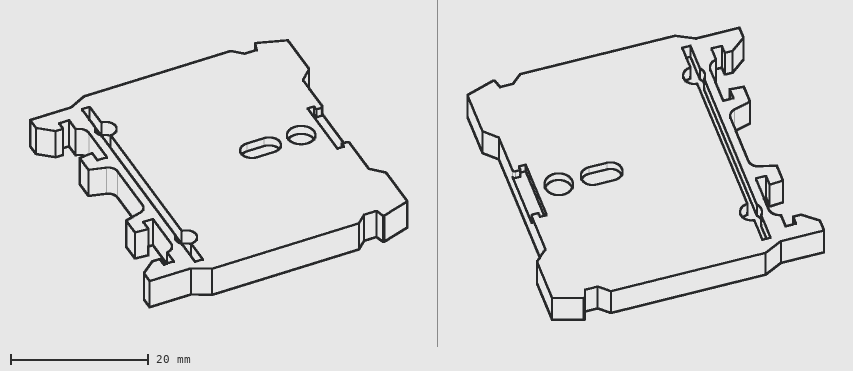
import cadquery as cq
import math

width = 43.0
height = 41.5
thickness = 5.0
half_width = width / 2
waist_x = 20.1

shoulder_inner_x = 12.9
top_edge_y = 39.6
top_edge_half = 11.05
shoulder_tip_y = 37.15
tip_flat = 0.25
notch_top_y = 36.5
notch_bottom_y = 34.55
side_top_y = 33.0
side_bottom_y = 9.37
foot_top_y = 6.62

toe_x = 18.1
hook_x = 16.2
hook_bottom_y = 2.3
hook_top_y = 3.5
hook_slot_x = 17.6
hook_slot_y = 5.07

recess_y = 6.45
recess_radius = 1.65
recess_arc_x = 13.75
post_outer_x = 7.7
post_ledge_x = 9.45
post_ledge_y = 4.9
post_tip_outer_x = 9.3
post_tip_inner_x = 6.3
post_tip_y = 2.8
post_root_x = 5.35
post_fillet = 1.45

pocket_depth = 1.5
hole_y = 34.0
hole_diameter = 4.13
slot_y = 27.48
slot_length = 6.2
slot_width = 3.45
marker_half = 5.0
marker_bottom_y = 37.45
marker_ledge_y = 38.5
marker_neck_half = 4.25
marker_lip_radius = 0.35

groove_depth = thickness / 2
groove_half = 19.0
groove_bottom_y = 7.83
groove_top_y = 9.07
bore_x = 13.5
bore_y = 9.05
bore_diameter = 3.2


def half_plate():
    """Half of the plate on the +X side, with its rail recess outline."""
    arc_center_y = recess_y - recess_radius
    end_angle = math.asin((hook_slot_y - arc_center_y) / recess_radius)
    mid_angle = (end_angle + math.pi / 2) / 2

    def recess_point(angle):
        return (
            recess_arc_x + recess_radius * math.cos(angle),
            arc_center_y + recess_radius * math.sin(angle),
        )

    outline = (
        cq.Workplane("XY")
        .moveTo(0, top_edge_y)
        .lineTo(top_edge_half, top_edge_y)
        .lineTo(shoulder_inner_x, height)
        .lineTo(waist_x, height)
        .lineTo(half_width, shoulder_tip_y)
        .lineTo(half_width, shoulder_tip_y - tip_flat)
        .lineTo(waist_x, notch_top_y)
        .lineTo(waist_x, notch_bottom_y)
        .lineTo(half_width, side_top_y)
        .lineTo(half_width, side_bottom_y)
        .lineTo(waist_x, foot_top_y)
        .lineTo(waist_x, 0)
        .lineTo(toe_x, 0)
        .lineTo(hook_x, hook_bottom_y)
        .lineTo(hook_x, hook_top_y)
        .lineTo(hook_slot_x, hook_top_y)
        .lineTo(hook_slot_x, hook_slot_y)
        .lineTo(*recess_point(end_angle))
        .threePointArc(recess_point(mid_angle), (recess_arc_x, recess_y))
        .lineTo(post_outer_x, recess_y)
        .lineTo(post_outer_x, post_ledge_y)
        .lineTo(post_ledge_x, post_ledge_y)
        .lineTo(post_tip_outer_x, post_tip_y)
        .lineTo(post_tip_inner_x, post_tip_y)
        .lineTo(post_root_x, recess_y)
        .lineTo(0, recess_y)
        .close()
    )
    post_root = cq.selectors.NearestToPointSelector((post_root_x, recess_y, thickness / 2))
    return outline.extrude(thickness).edges("|Z").edges(post_root).fillet(post_fillet)


def upper_face_sketch(depth):
    """Workplane from which a cutter reaches the upper face."""
    return cq.Workplane("XY").workplane(offset=thickness - depth)


def box_cutter(half_length, bottom_y, top_y, depth):
    return (
        upper_face_sketch(depth)
        .center(0, (bottom_y + top_y) / 2)
        .rect(2 * half_length, top_y - bottom_y)
        .extrude(depth)
    )


def marker_pocket():
    """T-shaped pocket open at the upper edge, with a rounded lip on each side."""
    lip_half = marker_neck_half + marker_lip_radius
    lip_y = top_edge_y - marker_lip_radius
    lip_offset = marker_lip_radius * math.sqrt(0.5)
    mid_x = lip_half - lip_offset
    mid_y = lip_y + lip_offset
    neck = (
        upper_face_sketch(pocket_depth)
        .moveTo(-marker_neck_half, marker_ledge_y)
        .lineTo(marker_neck_half, marker_ledge_y)
        .lineTo(marker_neck_half, lip_y)
        .threePointArc((mid_x, mid_y), (lip_half, top_edge_y))
        .lineTo(-lip_half, top_edge_y)
        .threePointArc((-mid_x, mid_y), (-marker_neck_half, lip_y))
        .close()
        .extrude(pocket_depth)
    )
    return neck.union(box_cutter(marker_half, marker_bottom_y, marker_ledge_y, pocket_depth))


def hole_and_slot():
    hole = upper_face_sketch(pocket_depth).center(0, hole_y).circle(hole_diameter / 2).extrude(pocket_depth)
    slot = (
        upper_face_sketch(pocket_depth)
        .center(0, slot_y)
        .slot2D(slot_length, slot_width, 90)
        .extrude(pocket_depth)
    )
    return hole.union(slot)


def long_groove():
    bores = (
        upper_face_sketch(groove_depth)
        .pushPoints([(-bore_x, bore_y), (bore_x, bore_y)])
        .circle(bore_diameter / 2)
        .extrude(groove_depth)
    )
    return box_cutter(groove_half, groove_bottom_y, groove_top_y, groove_depth).union(bores)


right_half = half_plate()
plate = right_half.union(right_half.mirror("YZ")).clean()
result = plate.cut(marker_pocket()).cut(hole_and_slot()).cut(long_groove())